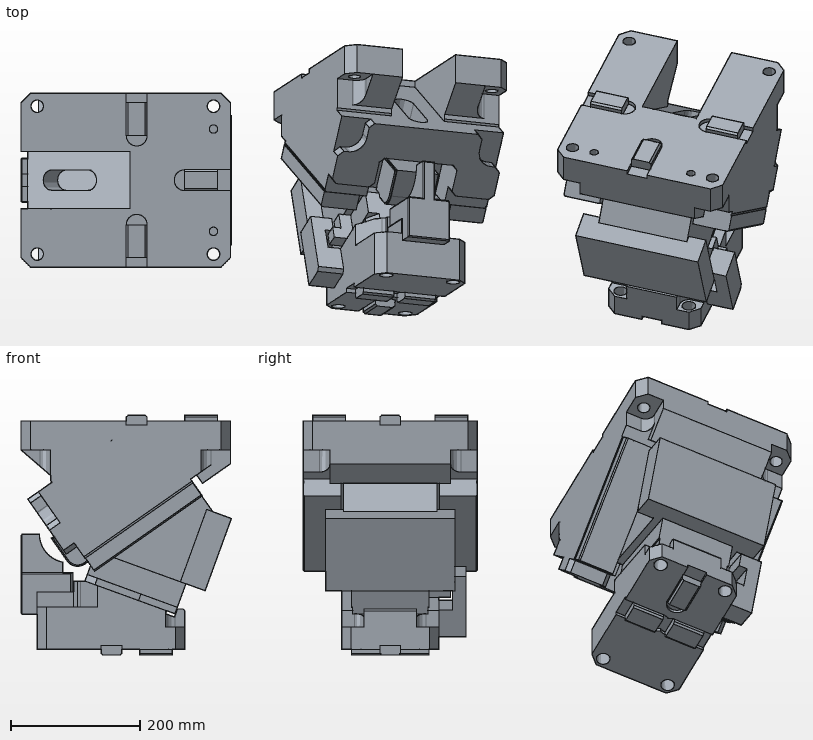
import cadquery as cq
import math

TOTAL_H = 372.0
KEY_RISE = 9.0
KEY_W = 32.5
KEY_LEN = 51.0
KEY_SEAT_DEPTH = 6.5
KEY_CHAMFER = 3.0
CORNER_CHAMFER = 15.0

PLATE_L = 324.8
PLATE_W = 270.0
PLATE_T = 45.0
PLATE_TOP = TOTAL_H - KEY_RISE
PLATE_BOTTOM = PLATE_TOP - PLATE_T
BOLT_D = 19.0
BOLT_INSET = 25.3
BOLT_EDGE = 20.5
REAR_BOLT_INSET = 26.5
DOWEL_D = 13.0
DOWEL_Y = 79.2
DOWEL_DEPTH = 29.8
SIDE_KEY_X = 179.3
SIDE_KEY_EDGE = 15.0
REAR_KEY_START = 253.7

HOLDER_ANGLE = 35.0
INCLINE_X = 10.5
INCLINE_Z = 241.8
BRACKET_T = 20.0
SLIDE_FACE_U = 126.0
GIB_BOTTOM_U = 151.0
GIB_INNER_Y = 76.3
HOLDER_END_S = 224.7
SHOULDER_U = 119.5
FRONT_WALL_X = 45.8
FRONT_WALL_Z = 271.2
RELIEF_S = 45.5
REAR_WALL_X = 278.5
RIB_HALF_W = 93.7
RIB_FILLET = 16.0
FRONT_RIB_Z = 278.5
REAR_RIB_U = 135.5
REAR_RIB_S = 236.0
CHANNEL_HALF_W = 44.3
CHANNEL_END_X = 169.3
SLOT_W = 31.2
SLOT_START_S = 29.5
SLOT_END_S = 130.2
SLOT_DEPTH = 39.0
GROOVE_DEPTH = 1.0
GROOVE_W = 3.0
GIB_CHAMFER = 2.2
GIB_SETBACK = 0.7

BRACKET_TOP_HALF_W = 86.5
BRACKET_CHAMFER = 7.5
BRACKET_ARC_R = 25.0
BRACKET_NECK_U = 25.3
BRACKET_LUG_CHAMFER = 8.5
BRACKET_BOTTOM_U = 104.0
NOTCH_TOP_U = 54.5
NOTCH_HALF_W = 64.7
NOTCH_END_S = 66.0

SLIDE_ANGLE = 20.0
SLIDE_X = 99.0
SLIDE_Z = 115.0
SLIDE_LEN = 148.8
SLIDE_END_S = 224.0
SLIDE_LOW_H = 49.5
SLIDE_LOW_HALF_W = 60.3
SLIDE_TOP_HALF_W = 72.0
PAD_H = 10.8
PAD_HALF_W = 59.0
PAD_SPLIT_A = 88.5
REAR_PAD_HALF_W = 58.5
PAD_CHAMFER = 16.7
BLOCK_A = 139.5
BLOCK_T = 41.0
BLOCK_TOP_B = 169.0
BLOCK_HALF_W = 100.0
NOSE_S = -5.0
NOSE_END_S = 55.8
NOSE_TOP_U = 70.3
NOSE_BOTTOM_U = 133.0
NOSE_R = 19.7
NOSE_HALF_W = 34.5
NOSE_FLANK = 2.5
NOSE_FLANK_SETBACK = 2.2
LUG_A = 65.0
LUG_LEN = 21.2
LUG_BOTTOM_B = 4.5
LUG_SHOULDER_B = 23.5
LUG_NECK_Y = 80.0
LUG_TIP_Y = 93.7
LUG_CLEARANCE = 2.5

BASE_X = 25.0
BASE_L = 229.0
BASE_W = 151.0
BASE_BOTTOM = KEY_RISE
SHELF_Z = 74.8
SHELF_END_X = 118.5
COLUMN_X = 81.5
COLUMN_SHOULDER_X = 87.8
COLUMN_WEDGE_X = 92.0
COLUMN_HALF_W = 37.2
SEAT_HALF_W = 36.0
WEDGE_HALF_W = 42.0
COLUMN_TOP = 115.0
SEAT_Z = 98.2
BASE_BOLT_D = 21.0
BASE_BOLT_INSET = 15.0
BASE_BOLT_Y = 55.8
BASE_DOWEL_D = 15.0
BASE_DOWEL_X = 89.3
BASE_DOWEL_DEPTH = 29.8
REAR_NOTCH_X = 224.5
REAR_NOTCH_Z = 44.0
REAR_RELIEF_DEPTH = 5.0
POST_TOP = 71.8
POST_HALF_W = 41.0
POST_CHAMFER = 3.0
POST_GAP = 0.7
NOTCH_FILLET = 14.5
BASE_SIDE_KEY_X = 140.2
BASE_SIDE_KEY_EDGE = 15.3
BASE_REAR_KEY_START = 183.8

STOPPER_HALF_W = 34.5
STOPPER_TOP = 128.0
STOPPER_BOTTOM = 63.2
STOPPER_L = 80.7
STOPPER_CHAMFER = 2.0
STOPPER_END_CHAMFER = 3.7
FIN_HALF_W = 9.5
FIN_TOP = 187.5
FIN_L = 64.7
FIN_TOP_L = 28.5
FIN_FOOT_Z = 144.5
FIN_CURVE_X = 37.2
FIN_CURVE_Z = 162.0

CLAW_A = 87.5
CLAW_T = 44.5
CLAW_BOTTOM_B = -44.0
CLAW_TOP_B = 55.8
CLAW_OUTER_Y = 117.5
CLAW_CHAMFER = 5.5
CLAW_SLOT_BOTTOM_B = 0.5
CLAW_SLOT_TOP_B = 32.7

BEYOND = 744.0

SIN_H, COS_H = math.sin(math.radians(HOLDER_ANGLE)), math.cos(math.radians(HOLDER_ANGLE))
SIN_S, COS_S = math.sin(math.radians(SLIDE_ANGLE)), math.cos(math.radians(SLIDE_ANGLE))


def on_holder(s, u):
    """(X, Z) of a point s up along and u below the holder's inclined face."""
    return INCLINE_X + s * COS_H + u * SIN_H, INCLINE_Z + s * SIN_H - u * COS_H


def on_holder_at_x(x, u):
    """(X, Z) of the point at position x on the line u below the holder's inclined face."""
    return on_holder((x - INCLINE_X - u * SIN_H) / COS_H, u)


def on_slide(a, b):
    """(X, Z) of a point a down along and b above the slide's inclined lower face."""
    return SLIDE_X + a * COS_S + b * SIN_S, SLIDE_Z - a * SIN_S + b * COS_S


def prism(points, y0, y1):
    """Prism over an XZ polygon from y0 to y1."""
    return cq.Workplane("XZ", origin=(0, y0, 0)).polyline(points).close().extrude(y0 - y1)


def sym_prism(points, half_w):
    return prism(points, -half_w, half_w)


def slide_bar(a0, a1, b0, b1, y0, y1):
    """Box aligned with the slide's lower face."""
    return prism([on_slide(a0, b0), on_slide(a1, b0), on_slide(a1, b1), on_slide(a0, b1)], y0, y1)


def box(x0, x1, y0, y1, z0, z1):
    return cq.Workplane("XY").box(x1 - x0, y1 - y0, z1 - z0, centered=False).translate((x0, y0, z0))


def drill(x, y, d, z0, z1):
    return cq.Workplane("XY", origin=(x, y, z0)).circle(d / 2).extrude(z1 - z0)


def key():
    """Key along +X from the origin, standing on its seat, long top edges chamfered."""
    height = KEY_RISE + KEY_SEAT_DEPTH
    bar = box(0, KEY_LEN, -KEY_W / 2, KEY_W / 2, 0, height)
    return bar.faces(">Z").edges("|X").chamfer(KEY_CHAMFER)


def key_seat(reach):
    """Round-ended key seat whose straight part runs reach along +X from the origin."""
    round_end = cq.Workplane("XY").circle(KEY_W / 2).extrude(BEYOND)
    return box(0, reach, -KEY_W / 2, KEY_W / 2, 0, BEYOND).union(round_end)


def add_keys(body, side_x, side_start, rear_start, place):
    """Two keys across the unit and one along it; place carries them to the mounting face."""
    for turn in (90, -90):
        def across(shape):
            return place(shape.translate((side_start, 0, 0)).rotate((0, 0, 0), (0, 0, 1), turn)
                         .translate((side_x, 0, 0)))
        body = body.cut(across(key_seat(BEYOND))).union(across(key()))

    def along(shape):
        return place(shape.translate((rear_start, 0, 0)))
    return body.cut(along(key_seat(BEYOND))).union(along(key()))


def seat_upper(shape):
    return shape.translate((0, 0, PLATE_TOP - KEY_SEAT_DEPTH))


def seat_lower(shape):
    return shape.mirror("XY").translate((0, 0, BASE_BOTTOM + KEY_SEAT_DEPTH))


def rib_plan(wall_x, side):
    """Column under the plate: a rib leaving the wall towards side with filleted inner corners."""
    x_tan = wall_x + side * RIB_FILLET
    y_tan = RIB_HALF_W + RIB_FILLET
    mid = RIB_FILLET * (1 - math.sqrt(0.5))
    x_far = wall_x + side * BEYOND
    plan = (cq.Workplane("XY")
            .moveTo(x_far, -RIB_HALF_W).lineTo(x_tan, -RIB_HALF_W)
            .threePointArc((wall_x + side * mid, -RIB_HALF_W - mid), (wall_x, -y_tan))
            .lineTo(wall_x, y_tan)
            .threePointArc((wall_x + side * mid, RIB_HALF_W + mid), (x_tan, RIB_HALF_W))
            .lineTo(x_far, RIB_HALF_W).close())
    return plan.extrude(BEYOND)


def holder_ribs():
    front = [(0, PLATE_BOTTOM), (FRONT_WALL_X, PLATE_BOTTOM), (FRONT_WALL_X, FRONT_RIB_Z)]
    rear = [(REAR_WALL_X, PLATE_BOTTOM), on_holder_at_x(REAR_WALL_X, SHOULDER_U),
            on_holder_at_x(PLATE_L, SHOULDER_U), (PLATE_L, PLATE_BOTTOM)]
    rear_foot = [on_holder(REAR_RIB_S, SHOULDER_U), on_holder(REAR_RIB_S, REAR_RIB_U),
                 on_holder_at_x(PLATE_L, REAR_RIB_U), (PLATE_L, PLATE_BOTTOM), (REAR_WALL_X, PLATE_BOTTOM)]
    front_rib = sym_prism(front, PLATE_W / 2).intersect(rib_plan(FRONT_WALL_X, -1))
    rear_rib = sym_prism(rear, PLATE_W / 2).intersect(rib_plan(REAR_WALL_X, 1))
    return front_rib.union(rear_rib).union(sym_prism(rear_foot, RIB_HALF_W))


def gib(side):
    """Rail beside the slide, its lower outer edge chamfered."""
    inner, outer = side * GIB_INNER_Y, side * PLATE_W / 2
    y0, y1 = min(inner, outer), max(inner, outer)
    s0, s1 = BRACKET_T + GIB_SETBACK, HOLDER_END_S
    rail = prism([on_holder(s0, SLIDE_FACE_U), on_holder(s0, GIB_BOTTOM_U),
                  on_holder(s1, GIB_BOTTOM_U), on_holder(s1, SLIDE_FACE_U)], y0, y1)
    edge_x, edge_z = on_holder((s0 + s1) / 2, GIB_BOTTOM_U)
    lower_edge = cq.selectors.NearestToPointSelector((edge_x, outer, edge_z))
    return rail.edges(lower_edge).chamfer(GIB_CHAMFER)


def gib_groove(side):
    """Shallow groove along the outer root of a gib."""
    outer = side * PLATE_W / 2
    floor = outer - side * GROOVE_DEPTH
    root_u = SLIDE_FACE_U - GROOVE_W
    outline = [on_holder(BRACKET_T, root_u), on_holder(BRACKET_T, SLIDE_FACE_U),
               on_holder(HOLDER_END_S, SLIDE_FACE_U), on_holder(HOLDER_END_S, root_u)]
    return prism(outline, min(floor, outer), max(floor, outer))


def bracket():
    """Front plate with rounded upper corner cut-outs and chamfered lower corners."""
    half = PLATE_W / 2
    neck = BRACKET_TOP_HALF_W + BRACKET_CHAMFER
    arc_y = neck + BRACKET_ARC_R
    arc_u = BRACKET_NECK_U + BRACKET_ARC_R
    mid = BRACKET_ARC_R * (1 - math.sqrt(0.5))
    plane = cq.Plane(origin=(INCLINE_X, 0, INCLINE_Z), xDir=(0, 1, 0), normal=(-COS_H, 0, -SIN_H))
    outline = (cq.Workplane(plane)
               .moveTo(0, 0).lineTo(BRACKET_TOP_HALF_W, 0).lineTo(neck, BRACKET_CHAMFER)
               .lineTo(neck, BRACKET_NECK_U)
               .threePointArc((neck + mid, arc_u - mid), (arc_y, arc_u))
               .lineTo(half - BRACKET_LUG_CHAMFER, arc_u).lineTo(half, arc_u + BRACKET_LUG_CHAMFER)
               .lineTo(half, BRACKET_BOTTOM_U - BRACKET_CHAMFER)
               .lineTo(half - BRACKET_CHAMFER, BRACKET_BOTTOM_U)
               .lineTo(0, BRACKET_BOTTOM_U).close())
    half_plate = outline.extrude(-BRACKET_T)
    return half_plate.union(half_plate.mirror("XZ"))


def notch_prism(half_outline, depth_s):
    """Prism along s over a (Y, u) outline given by its +Y half."""
    plane = cq.Plane(origin=(INCLINE_X, 0, INCLINE_Z), xDir=(0, 1, 0), normal=(-COS_H, 0, -SIN_H))
    mirrored = [(-y, u) for y, u in reversed(half_outline)]
    return cq.Workplane(plane).polyline(half_outline + mirrored).close().extrude(-depth_s)


def holder_notch():
    """Recess for the slide's nose: flared at the bracket's lower edge, straight in the block."""
    c = BRACKET_CHAMFER
    shoulder = [(NOTCH_HALF_W - c, NOTCH_TOP_U), (NOTCH_HALF_W, NOTCH_TOP_U + c)]
    flare = [(NOTCH_HALF_W, BRACKET_BOTTOM_U - c), (NOTCH_HALF_W + c, BRACKET_BOTTOM_U)]
    in_bracket = notch_prism(shoulder + flare, BRACKET_T)
    in_block = notch_prism(shoulder + [(NOTCH_HALF_W, SLIDE_FACE_U)], NOTCH_END_S)
    return in_bracket.union(in_block)


def incline_slot():
    plane = cq.Plane(origin=(INCLINE_X, 0, INCLINE_Z), xDir=(COS_H, 0, SIN_H), normal=(-SIN_H, 0, COS_H))
    return (cq.Workplane(plane).center((SLOT_START_S + SLOT_END_S) / 2, 0)
            .slot2D(SLOT_END_S - SLOT_START_S, SLOT_W).extrude(-SLOT_DEPTH))


def make_holder():
    half = PLATE_W / 2
    plate = box(0, PLATE_L, -half, half, PLATE_BOTTOM, PLATE_TOP).edges("|Z").chamfer(CORNER_CHAMFER)
    block = [(FRONT_WALL_X, PLATE_BOTTOM), (FRONT_WALL_X, FRONT_WALL_Z), on_holder(RELIEF_S, 0),
             on_holder(BRACKET_T, 0), on_holder(BRACKET_T, SLIDE_FACE_U),
             on_holder(HOLDER_END_S, SLIDE_FACE_U), on_holder(HOLDER_END_S, SHOULDER_U),
             on_holder_at_x(REAR_WALL_X, SHOULDER_U), (REAR_WALL_X, PLATE_BOTTOM)]
    body = plate.union(sym_prism(block, half)).union(holder_ribs()).union(bracket())
    for side in (1, -1):
        body = body.union(gib(side)).cut(gib_groove(side))

    channel = [on_holder(-BRACKET_T, 0), on_holder_at_x(CHANNEL_END_X, 0),
               (CHANNEL_END_X, TOTAL_H), (on_holder(-BRACKET_T, 0)[0], TOTAL_H)]
    body = body.cut(sym_prism(channel, CHANNEL_HALF_W)).cut(incline_slot()).cut(holder_notch())

    for side in (1, -1):
        for x in (BOLT_INSET, PLATE_L - REAR_BOLT_INSET):
            body = body.cut(drill(x, side * (half - BOLT_EDGE), BOLT_D, PLATE_BOTTOM, PLATE_TOP))
        body = body.cut(drill(PLATE_L - REAR_BOLT_INSET, side * DOWEL_Y, DOWEL_D,
                              PLATE_TOP - DOWEL_DEPTH, PLATE_TOP))
    side_start = half - SIDE_KEY_EDGE - KEY_LEN
    return add_keys(body, SIDE_KEY_X, side_start, REAR_KEY_START, seat_upper)


def nose_blank(inset, half_w):
    """Nose over the slide's front edge, its exposed faces set back by inset."""
    front, r = NOSE_S + inset, NOSE_R - inset
    top, bottom = NOSE_TOP_U + inset, NOSE_BOTTOM_U - inset
    mid = r * (1 - math.sqrt(0.5))
    outline = (cq.Workplane("XZ", origin=(0, -half_w, 0))
               .moveTo(*on_holder(front, top)).lineTo(*on_holder(front, bottom - r))
               .threePointArc(on_holder(front + mid, bottom - mid), on_holder(front + r, bottom))
               .lineTo(*on_holder(NOSE_END_S, bottom)).lineTo(*on_holder(NOSE_END_S, top)).close())
    return outline.extrude(-2 * half_w)


def slide_pads():
    """Front and rear wear pads under the slide, the front one chamfered at its leading corners."""
    front = slide_bar(0, PAD_SPLIT_A, 0, PAD_H, -PAD_HALF_W, PAD_HALF_W)
    corner_x, corner_z = on_slide(0, PAD_H / 2)
    for side in (1, -1):
        corner = cq.selectors.NearestToPointSelector((corner_x, side * PAD_HALF_W, corner_z))
        front = front.edges(corner).chamfer(PAD_CHAMFER)
    return front.union(slide_bar(PAD_SPLIT_A, SLIDE_LEN, 0, PAD_H, -REAR_PAD_HALF_W, REAR_PAD_HALF_W))


def return_lug():
    """L-shaped lug on the +Y side of the slide."""
    a1 = LUG_A + LUG_LEN
    foot = slide_bar(LUG_A, a1, LUG_BOTTOM_B, LUG_SHOULDER_B, 0, LUG_TIP_Y)
    return foot.union(slide_bar(LUG_A, a1, LUG_SHOULDER_B, SLIDE_LOW_H, 0, LUG_NECK_Y))


def make_slide():
    block_end = BLOCK_A + BLOCK_T
    depth_at_heel = (SLIDE_X - INCLINE_X) * SIN_H - (SLIDE_Z - INCLINE_Z) * COS_H
    front_top_b = (depth_at_heel - SLIDE_FACE_U) / math.cos(math.radians(HOLDER_ANGLE + SLIDE_ANGLE))
    end_x, end_z = on_holder(SLIDE_END_S, SLIDE_FACE_U)
    end_b = (end_x - SLIDE_X) * SIN_S + (end_z - SLIDE_Z) * COS_S
    end_drop = (end_b - BLOCK_TOP_B) / math.cos(math.radians(HOLDER_ANGLE + SLIDE_ANGLE))

    wedge = [on_slide(0, SLIDE_LOW_H), on_slide(0, front_top_b), (end_x, end_z),
             on_holder(SLIDE_END_S, SLIDE_FACE_U + end_drop), on_slide(SLIDE_LEN, SLIDE_LOW_H)]
    body = sym_prism(wedge, SLIDE_TOP_HALF_W)
    body = body.union(slide_bar(0, SLIDE_LEN, PAD_H, SLIDE_LOW_H, -SLIDE_LOW_HALF_W, SLIDE_LOW_HALF_W))
    body = body.union(slide_pads())
    body = body.union(slide_bar(BLOCK_A, block_end, SLIDE_LOW_H, BLOCK_TOP_B, -BLOCK_HALF_W, BLOCK_HALF_W))
    body = body.union(nose_blank(0, NOSE_HALF_W))
    body = body.union(nose_blank(NOSE_FLANK_SETBACK, NOSE_HALF_W + NOSE_FLANK))
    return body.union(return_lug())


def base_block():
    """Lower block with the inclined top, the front shelf and the centre column."""
    half = BASE_W / 2
    x1 = BASE_X + BASE_L
    shelf = box(BASE_X, x1, -half, half, BASE_BOTTOM, COLUMN_TOP).edges("|Z").chamfer(CORNER_CHAMFER)
    plan = [(COLUMN_X, -COLUMN_HALF_W), (COLUMN_SHOULDER_X, -COLUMN_HALF_W), (COLUMN_WEDGE_X, -WEDGE_HALF_W),
            (SHELF_END_X, -half), (x1, -half)]
    plan += [(x, -y) for x, y in reversed(plan)]
    raised = cq.Workplane("XY").polyline(plan).close().extrude(COLUMN_TOP)
    low = box(BASE_X, x1, -half, half, BASE_BOTTOM, SHELF_Z)
    seat = box(BASE_X, COLUMN_X, -SEAT_HALF_W, SEAT_HALF_W, BASE_BOTTOM, SEAT_Z)
    body = shelf.intersect(low.union(raised).union(seat))
    above_incline = slide_bar(0, BEYOND, 0, BEYOND, -half, half)
    relief_a = (REAR_NOTCH_X - SLIDE_X + REAR_RELIEF_DEPTH * SIN_S) / COS_S
    rear_relief = slide_bar(relief_a, BEYOND, -REAR_RELIEF_DEPTH, BEYOND, -half, half)
    return body.cut(above_incline).cut(rear_relief)


def rear_corner_notch(side):
    """Clearance over a rear bolt, with a rounded inner corner."""
    notch = (cq.Workplane("XY", origin=(0, 0, REAR_NOTCH_Z))
             .rect(BEYOND, BEYOND, centered=False).extrude(BEYOND)
             .edges("|Z and <X and <Y").fillet(NOTCH_FILLET))
    notch = notch.translate((REAR_NOTCH_X, POST_HALF_W, 0))
    return notch if side > 0 else notch.mirror("XZ")


def rear_post():
    x1 = BASE_X + BASE_L
    front_a = SLIDE_LEN + POST_GAP
    foot = on_slide(front_a, -REAR_RELIEF_DEPTH)
    top_x = foot[0] + (POST_TOP - foot[1]) * SIN_S / COS_S
    outline = [(foot[0], REAR_NOTCH_Z), foot, (top_x, POST_TOP), (x1 - POST_CHAMFER, POST_TOP),
               (x1, POST_TOP - POST_CHAMFER), (x1, REAR_NOTCH_Z)]
    return sym_prism(outline, POST_HALF_W)


def stopper():
    """L-shaped stop hooked over the front seat, with a curved fin on top."""
    hook = sym_prism([(0, STOPPER_BOTTOM), (0, STOPPER_TOP), (STOPPER_L, STOPPER_TOP), (STOPPER_L, SEAT_Z),
                      (BASE_X, SEAT_Z), (BASE_X, STOPPER_BOTTOM)], STOPPER_HALF_W)
    hook = hook.edges("|X and >Z").chamfer(STOPPER_CHAMFER).edges("|Z and >X").chamfer(STOPPER_END_CHAMFER)
    fin = (cq.Workplane("XZ", origin=(0, -FIN_HALF_W, 0))
           .moveTo(0, SEAT_Z).lineTo(0, FIN_TOP).lineTo(FIN_TOP_L, FIN_TOP)
           .threePointArc((FIN_CURVE_X, FIN_CURVE_Z), (FIN_L, FIN_FOOT_Z))
           .lineTo(FIN_L, SEAT_Z).close().extrude(-2 * FIN_HALF_W))
    return hook.union(fin).faces("<X").edges().chamfer(STOPPER_CHAMFER)


def return_claw():
    """Slotted claw beside the base that the slide's return lug runs into."""
    half = BASE_W / 2
    a1 = CLAW_A + CLAW_T
    outline = [on_slide(CLAW_A, CLAW_TOP_B), on_slide(CLAW_A, CLAW_BOTTOM_B + CLAW_CHAMFER),
               on_slide(CLAW_A + CLAW_CHAMFER, CLAW_BOTTOM_B), on_slide(a1, CLAW_BOTTOM_B),
               on_slide(a1, CLAW_TOP_B)]
    claw = prism(outline, half, CLAW_OUTER_Y)
    foot_slot = slide_bar(CLAW_A, a1, CLAW_SLOT_BOTTOM_B, CLAW_SLOT_TOP_B, half, LUG_TIP_Y + LUG_CLEARANCE)
    neck_slot = slide_bar(CLAW_A, a1, CLAW_SLOT_TOP_B, CLAW_TOP_B, half, LUG_NECK_Y + LUG_CLEARANCE)
    return claw.cut(foot_slot).cut(neck_slot)


def make_base():
    half = BASE_W / 2
    rear_bolt_x = BASE_X + BASE_L - BASE_BOLT_INSET
    body = base_block()
    for side in (1, -1):
        body = body.cut(rear_corner_notch(side))
        for x in (BASE_X + BASE_BOLT_INSET, rear_bolt_x):
            body = body.cut(drill(x, side * BASE_BOLT_Y, BASE_BOLT_D, BASE_BOTTOM, SHELF_Z))
        body = body.cut(drill(BASE_DOWEL_X, side * BASE_BOLT_Y, BASE_DOWEL_D,
                              SHELF_Z - BASE_DOWEL_DEPTH, SHELF_Z))
    body = body.union(rear_post()).union(return_claw()).union(stopper())
    side_start = half - BASE_SIDE_KEY_EDGE - KEY_LEN
    return add_keys(body, BASE_SIDE_KEY_X, side_start, BASE_REAR_KEY_START, seat_lower)


holder = make_holder().solids()
slide = make_slide().solids()
base = make_base().solids()
result = cq.Compound.makeCompound([holder.val(), slide.val(), base.val()])